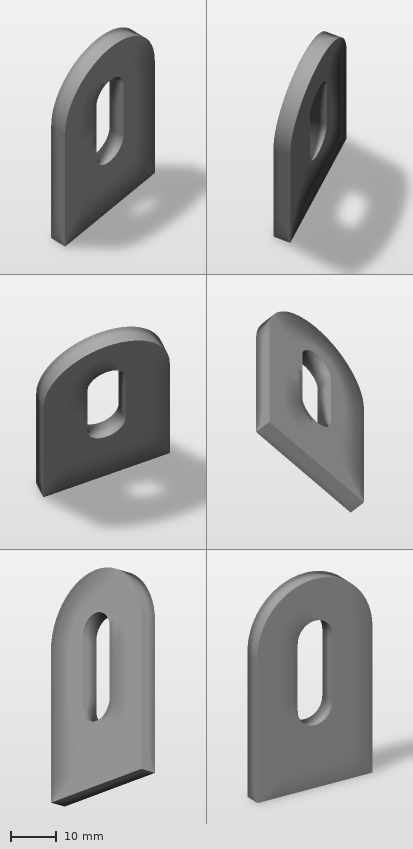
import cadquery as cq

height = 50.0
width = 30.0
thickness = 4.0
slot_width = 9.0
slot_bottom = 15.0
slot_top = 40.0

half_width = width / 2
shoulder_height = height - half_width
slot_length = slot_top - slot_bottom
slot_center = (slot_top + slot_bottom) / 2


def make_plate():
    """Plate with a flat base and a full-round top."""
    return (
        cq.Workplane("YZ")
        .moveTo(-half_width, 0)
        .lineTo(half_width, 0)
        .lineTo(half_width, shoulder_height)
        .threePointArc((0, height), (-half_width, shoulder_height))
        .close()
        .extrude(thickness)
    )


def make_slot():
    """Vertical round-ended slot through the full thickness."""
    return (
        cq.Workplane("YZ")
        .center(0, slot_center)
        .slot2D(slot_length, slot_width, angle=90)
        .extrude(thickness)
    )


result = make_plate().cut(make_slot())